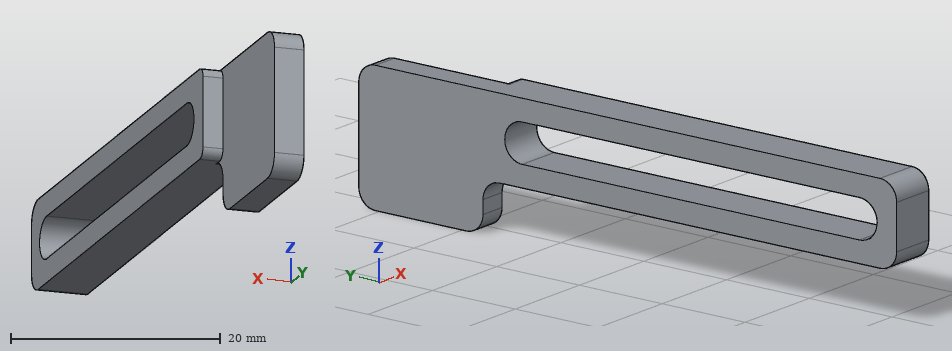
import cadquery as cq

length = 65.0
height = 14.5
thickness = 5.0

plate_thickness = 3.0
arm_height = 9.0
tab_length = 15.0
corner_radius = 2.0
pad_corner_radius = 1.0

slot_length = 45.0
slot_width = 4.2
slot_margin = (arm_height - slot_width) / 2

left = -thickness / 2
front = -length / 2
back = length / 2
bottom = -height / 2
top = height / 2
arm_bottom = top - arm_height
tab_front = back - tab_length


def make_plate():
    """L-shaped plate: full-length arm with a tab hanging at the back end."""
    outline = [
        (front, top),
        (back, top),
        (back, bottom),
        (tab_front, bottom),
        (tab_front, arm_bottom),
        (front, arm_bottom),
    ]
    plate = cq.Workplane("YZ", origin=(left, 0, 0)).polyline(outline).close().extrude(plate_thickness)
    return plate.edges("|X").fillet(corner_radius)


def make_pad():
    """Thickening of the arm on the +X side, ending level with the tab."""
    pad_length = length - tab_length
    pad_centre = (front + pad_length / 2, top - arm_height / 2)
    pad = (
        cq.Workplane("YZ", origin=(left, 0, 0))
        .center(*pad_centre)
        .rect(pad_length, arm_height)
        .extrude(thickness)
    )
    pad = pad.edges("|X and <Y").fillet(corner_radius)
    pad = pad.edges("|X and >Y").fillet(pad_corner_radius)
    return pad


def make_slot():
    """Round-ended cutter through the whole thickness of the arm."""
    slot_centre = (front + slot_margin + slot_length / 2, top - arm_height / 2)
    return (
        cq.Workplane("YZ", origin=(left, 0, 0))
        .center(*slot_centre)
        .slot2D(slot_length, slot_width)
        .extrude(thickness)
    )


result = make_plate().union(make_pad()).cut(make_slot())